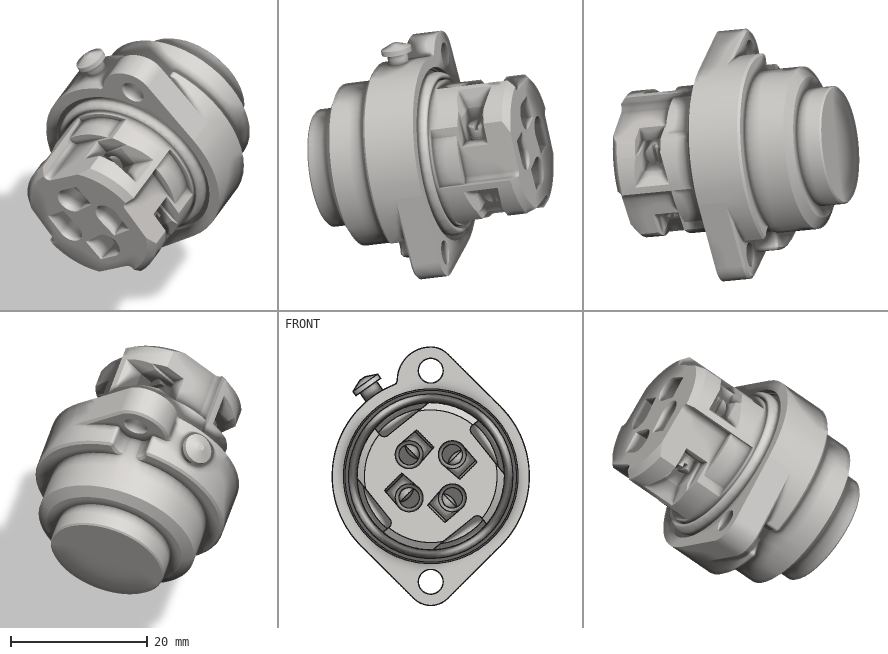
import cadquery as cq
import math


REAR_Y = 16.1
BOSS_BASE_Y = 12.42
BARREL_EDGE_Y = 11.47
DRUM_REAR_Y = 5.47
LUG_REAR_Y = 2.13
FLANGE_FACE_Y = -2.4
RECESS_START_Y = -3.85
BAND_END_Y = -7.6
SCREW_Y = -10.05
INSERT_FACE_Y = -15.88

BOSS_R = 17.4 / 2
BOSS_CHAMFER = 0.23
BARREL_R = 24.0 / 2
BARREL_CHAMFER_R = 1.6
DRUM_R = 29.0 / 2
REAR_EDGE_CHAMFER = 0.35
INSERT_R = 21.6 / 2
INSERT_CHAMFER_R = 1.05
INSERT_CHAMFER_Y = 0.95

FLANGE_HEIGHT = 38.0
LUG_R = 3.5
LUG_Z = FLANGE_HEIGHT / 2 - LUG_R
MOUNT_HOLE_D = 3.6
SHOULDER_R = 4.95
SHOULDER_Z = FLANGE_HEIGHT / 2 - SHOULDER_R
SHOULDER_FILLET = 0.75
NOTCH_R = 2.47
NOTCH_Z = 14.25
NOTCH_EDGE_FILLET = 0.5

STUD_ANGLE = 125.0
STUD_Y = 1.95
STUD_STEM_R = 3.0 / 2
STUD_HEAD_R = 4.5 / 2
STUD_TIP_R = 0.5
STUD_HEAD_BASE = 16.0
STUD_RIM_HEIGHT = 0.75
STUD_CONE_HEIGHT = 0.75

SEAL_R = 12.08
SEAT_MOUTH_R = 25.7 / 2
SEAT_MOUTH_DEPTH = 0.85
SEAT_R = 12.6
SEAT_DEPTH = 1.2

STATIONS = 4
STATION_ANGLE = 360 / STATIONS
RECESS_ANGLE = 38.7
RECESS_FLAT = 8.62
RECESS_WALL = 2.0
RECESS_CORNER_R = 0.8
BAND_R = 10.03

CONTACT_RADIUS = 4.5
ENTRY_R = 2.05
ENTRY_END_WIDTH = 3.57
ENTRY_DEPTH = 3.8
ENTRY_END = 3.35
ENTRY_END_SLOPE = 0.35
ENTRY_SLOPE_DEPTH = 2.93
BORE_R = 3.0 / 2
CONE_DEPTH = 0.57
BORE_END_Y = -6.08

SCREW_R = 1.5
SCREW_TIP = 0.05
SCREW_TIP_HEIGHT = 0.5
SCREW_HEAD = 6.1
COLLAR_HEAD = 4.35
SCREW_SLOT_WIDTH = 0.65
SCREW_SLOT_DEPTH = 0.7
WINDOW_START = 4.18
WINDOW_WIDTH = 4.0
CHANNEL_START = 3.8
CHANNEL_WIDTH = 3.15
CHANNEL_FLOOR = CONTACT_RADIUS - CHANNEL_WIDTH / 2
WINDOW_FLOOR = CONTACT_RADIUS + CHANNEL_WIDTH / 2
FUNNEL_START = 8.0
FUNNEL_SLOPE = 0.4

BEYOND = INSERT_R + 1.9


def face_plane(y):
    """Workplane across the connector axis; extrusions run toward -Y."""
    return cq.Workplane("XZ", origin=(0, y, 0))


def turned(shape, angle):
    """Turn a shape about the connector axis, anticlockwise when facing the insert."""
    return shape.rotate((0, 0, 0), (0, -1, 0), angle)


def revolved(points):
    """Revolve a closed (radius, y) outline about the connector axis."""
    return cq.Workplane("XY").polyline(points).close().revolve(360, (0, 0, 0), (0, 1, 0))


def screw_plane(along):
    """Workplane square to the first screw: local x is across, local y is -Y, normal is along."""
    shift = along / math.sqrt(2)
    return cq.Workplane(cq.Plane(origin=(shift, SCREW_Y, shift), xDir=(-1, 0, 1), normal=(1, 0, 1)))


def round_body():
    """Rear boss and barrel with the cylindrical insert in front."""
    return revolved([
        (0, REAR_Y),
        (BOSS_R - BOSS_CHAMFER, REAR_Y),
        (BOSS_R, REAR_Y - BOSS_CHAMFER),
        (BOSS_R, BOSS_BASE_Y),
        (BARREL_R - BARREL_CHAMFER_R, BOSS_BASE_Y),
        (BARREL_R, BARREL_EDGE_Y),
        (BARREL_R, FLANGE_FACE_Y),
        (INSERT_R, FLANGE_FACE_Y),
        (INSERT_R, INSERT_FACE_Y + INSERT_CHAMFER_Y),
        (INSERT_R - INSERT_CHAMFER_R, INSERT_FACE_Y),
        (0, INSERT_FACE_Y),
    ])


def notched_drum():
    """Flange drum with a screw-head clearance notch behind each lug."""
    length = DRUM_REAR_Y - FLANGE_FACE_Y
    drum = face_plane(DRUM_REAR_Y).circle(DRUM_R).extrude(length)
    notches = (
        face_plane(DRUM_REAR_Y)
        .pushPoints([(0, NOTCH_Z), (0, -NOTCH_Z)])
        .circle(NOTCH_R)
        .extrude(length)
    )
    drum = drum.cut(notches).edges("|Y and (not >X)").fillet(NOTCH_EDGE_FILLET)
    return drum.faces(">Y").edges().chamfer(REAR_EDGE_CHAMFER)


def lug_plate():
    """Two-lug flange: tangent flanks on three sides and a round shoulder at the upper left.

    Between the lugs the outline takes straight chords that stay inside the drum.
    """
    tangent = math.acos((DRUM_R - LUG_R) / LUG_Z)
    sin_t = math.sin(tangent)
    cos_t = math.cos(tangent)
    lug_x = LUG_R * sin_t
    lug_z = LUG_Z + LUG_R * cos_t
    drum_x = DRUM_R * sin_t
    drum_z = DRUM_R * cos_t

    drum_reach = DRUM_R + SHOULDER_FILLET
    shoulder_reach = SHOULDER_R + SHOULDER_FILLET
    fillet_z = (drum_reach**2 - shoulder_reach**2 + SHOULDER_Z**2) / (2 * SHOULDER_Z)
    fillet_x = -math.sqrt(drum_reach**2 - fillet_z**2)
    on_drum = (fillet_x * DRUM_R / drum_reach, fillet_z * DRUM_R / drum_reach)
    on_shoulder = (
        fillet_x * SHOULDER_R / shoulder_reach,
        SHOULDER_Z + (fillet_z - SHOULDER_Z) * SHOULDER_R / shoulder_reach,
    )
    to_corner_x = (on_drum[0] + on_shoulder[0]) / 2 - fillet_x
    to_corner_z = (on_drum[1] + on_shoulder[1]) / 2 - fillet_z
    to_corner = math.hypot(to_corner_x, to_corner_z)
    fillet_mid = (
        fillet_x + SHOULDER_FILLET * to_corner_x / to_corner,
        fillet_z + SHOULDER_FILLET * to_corner_z / to_corner,
    )
    shoulder_mid = (
        -SHOULDER_R * math.sqrt(0.5),
        SHOULDER_Z + SHOULDER_R * math.sqrt(0.5),
    )
    lug_mid = (LUG_R * math.sin(tangent / 2), LUG_Z + LUG_R * math.cos(tangent / 2))

    plate = (
        face_plane(LUG_REAR_Y)
        .moveTo(0, LUG_Z + LUG_R)
        .threePointArc(lug_mid, (lug_x, lug_z))
        .lineTo(drum_x, drum_z)
        .lineTo(drum_x, -drum_z)
        .lineTo(lug_x, -lug_z)
        .threePointArc((0, -LUG_Z - LUG_R), (-lug_x, -lug_z))
        .lineTo(-drum_x, -drum_z)
        .lineTo(*on_drum)
        .threePointArc(fillet_mid, on_shoulder)
        .threePointArc(shoulder_mid, (0, LUG_Z + LUG_R))
        .close()
        .extrude(LUG_REAR_Y - FLANGE_FACE_Y)
    )
    return plate.faces(">Y").edges().chamfer(REAR_EDGE_CHAMFER)


def mount_holes():
    """Holes through the two lugs."""
    return (
        face_plane(DRUM_REAR_Y)
        .pushPoints([(0, LUG_Z), (0, -LUG_Z)])
        .circle(MOUNT_HOLE_D / 2)
        .extrude(DRUM_REAR_Y - FLANGE_FACE_Y)
    )


def side_stud():
    """Radial stud with a conical button head."""
    rim_top = STUD_HEAD_BASE + STUD_RIM_HEIGHT
    stem_start = BARREL_R
    outline = [
        (0, stem_start),
        (STUD_STEM_R, stem_start),
        (STUD_STEM_R, STUD_HEAD_BASE),
        (STUD_HEAD_R, STUD_HEAD_BASE),
        (STUD_HEAD_R, rim_top),
        (STUD_TIP_R, rim_top + STUD_CONE_HEIGHT),
        (0, rim_top + STUD_CONE_HEIGHT),
    ]
    upright = (
        cq.Workplane("XZ", origin=(0, STUD_Y, 0))
        .polyline(outline)
        .close()
        .revolve(360, (0, 0, 0), (0, 1, 0))
    )
    return turned(upright, STUD_ANGLE - 90)


def seal_seat():
    """Stepped ring-shaped recess in the flange face around the insert."""
    mouth = (
        face_plane(FLANGE_FACE_Y + SEAT_MOUTH_DEPTH)
        .circle(SEAT_MOUTH_R)
        .circle(INSERT_R)
        .extrude(SEAT_MOUTH_DEPTH)
    )
    inner = (
        face_plane(FLANGE_FACE_Y + SEAT_DEPTH)
        .circle(SEAT_R)
        .circle(INSERT_R)
        .extrude(SEAT_DEPTH)
    )
    return mouth.union(inner)


def side_recess():
    """Flat-bottomed recess in the insert side, keeping a round band at its rear end."""
    length = RECESS_START_Y - INSERT_FACE_Y
    block = (
        face_plane(RECESS_START_Y)
        .moveTo(-RECESS_WALL, RECESS_FLAT)
        .lineTo(BEYOND, RECESS_FLAT)
        .lineTo(BEYOND, BEYOND)
        .lineTo(-RECESS_WALL, BEYOND)
        .close()
        .extrude(length)
        .edges("|Y and <X and <Z")
        .fillet(RECESS_CORNER_R)
    )
    band = face_plane(RECESS_START_Y).circle(BAND_R).extrude(RECESS_START_Y - BAND_END_Y)
    return turned(block.cut(band), RECESS_ANGLE)


def wire_entry():
    """Keyhole-shaped entry with a sloped end wall, a lead-in cone and the contact bore."""
    floor_y = INSERT_FACE_Y + ENTRY_DEPTH
    cone_end_y = floor_y + CONE_DEPTH
    offset = CONTACT_RADIUS / math.sqrt(2)
    bore = (
        revolved([
            (0, INSERT_FACE_Y),
            (ENTRY_R, INSERT_FACE_Y),
            (ENTRY_R, floor_y),
            (BORE_R, cone_end_y),
            (BORE_R, BORE_END_Y),
            (0, BORE_END_Y),
        ])
        .translate((-offset, 0, offset))
    )
    side = (
        cq.Workplane(cq.Plane(origin=(-offset, 0, offset), xDir=(0, 1, 0), normal=(1, 0, -1)))
        .polyline([
            (INSERT_FACE_Y, 0),
            (INSERT_FACE_Y, ENTRY_END),
            (INSERT_FACE_Y + ENTRY_SLOPE_DEPTH, ENTRY_END - ENTRY_END_SLOPE),
            (floor_y, ENTRY_END - ENTRY_END_SLOPE),
            (floor_y, 0),
        ])
        .close()
        .extrude(ENTRY_R, both=True)
    )
    plan = (
        cq.Workplane(cq.Plane(origin=(-offset, floor_y, offset), xDir=(1, 0, 1), normal=(0, -1, 0)))
        .polyline([
            (0, -ENTRY_R),
            (ENTRY_END, -ENTRY_END_WIDTH / 2),
            (ENTRY_END, ENTRY_END_WIDTH / 2),
            (0, ENTRY_R),
        ])
        .close()
        .extrude(ENTRY_DEPTH)
    )
    slot = side.intersect(plan)
    return bore.union(slot)


def screw_window():
    """Stepped channel over a screw, ending in a widening funnel."""
    def section(start, floor, width, top=BEYOND):
        return screw_plane(start).center((floor + top) / 2, 0).rect(top - floor, width)

    spread = FUNNEL_SLOPE * (BEYOND - FUNNEL_START)
    near = section(FUNNEL_START, CHANNEL_FLOOR, CHANNEL_WIDTH)
    far = section(BEYOND, CHANNEL_FLOOR - spread, CHANNEL_WIDTH + 2 * spread)
    funnel = cq.Workplane(cq.Solid.makeLoft([near.wires().val(), far.wires().val()], True))

    channel = section(CHANNEL_START, CHANNEL_FLOOR, CHANNEL_WIDTH, WINDOW_FLOOR)
    channel = channel.extrude(BEYOND - CHANNEL_START)
    window = section(WINDOW_START, WINDOW_FLOOR, WINDOW_WIDTH).extrude(BEYOND - WINDOW_START)
    return channel.union(window).union(funnel)


def clamp_screw():
    """Slotted set screw in its collar, with a domed tip reaching into the contact bore."""
    dome_r = (SCREW_R**2 + SCREW_TIP_HEIGHT**2) / (2 * SCREW_TIP_HEIGHT)
    half_r = SCREW_R / 2
    half_z = SCREW_TIP + dome_r - math.sqrt(dome_r**2 - half_r**2)
    screw = (
        cq.Workplane(cq.Plane(origin=(0, SCREW_Y, 0), xDir=(-1, 0, 1), normal=(0, 1, 0)))
        .moveTo(CONTACT_RADIUS, SCREW_TIP)
        .threePointArc(
            (CONTACT_RADIUS + half_r, half_z),
            (CONTACT_RADIUS + SCREW_R, SCREW_TIP + SCREW_TIP_HEIGHT),
        )
        .lineTo(CONTACT_RADIUS + SCREW_R, SCREW_HEAD)
        .lineTo(CONTACT_RADIUS, SCREW_HEAD)
        .close()
        .revolve(360, (CONTACT_RADIUS, 0, 0), (CONTACT_RADIUS, 1, 0))
    )
    slot = (
        screw_plane(SCREW_HEAD - SCREW_SLOT_DEPTH)
        .center(CONTACT_RADIUS, 0)
        .rect(2 * SCREW_R, SCREW_SLOT_WIDTH)
        .extrude(SCREW_SLOT_DEPTH)
    )
    collar = (
        screw_plane(CHANNEL_START)
        .center(CONTACT_RADIUS, 0)
        .circle(CHANNEL_WIDTH / 2)
        .extrude(COLLAR_HEAD - CHANNEL_START)
    )
    return screw.cut(slot).union(collar)


def make_connector():
    """Main body: housing, flange, insert, stud and clamping screws."""
    body = round_body().union(notched_drum()).union(lug_plate()).union(side_stud())
    body = body.cut(mount_holes()).cut(seal_seat())
    for station in range(STATIONS):
        angle = station * STATION_ANGLE
        for cutter in (side_recess(), screw_window(), wire_entry()):
            body = body.cut(turned(cutter, angle))
        body = body.union(turned(clamp_screw(), angle))
    return body


def make_seal():
    """Sealing ring of oval section that hugs the insert and rests on the seat floor."""
    half_width = (SEAL_R - INSERT_R) / 2
    centre_r = INSERT_R + half_width
    return (
        cq.Workplane("XY", origin=(centre_r, FLANGE_FACE_Y, 0))
        .ellipse(half_width, SEAT_DEPTH)
        .revolve(360, (-centre_r, 0, 0), (-centre_r, 1, 0))
    )


connector = make_connector()
seal = make_seal()

result = cq.Compound.makeCompound([connector.val(), seal.val()])